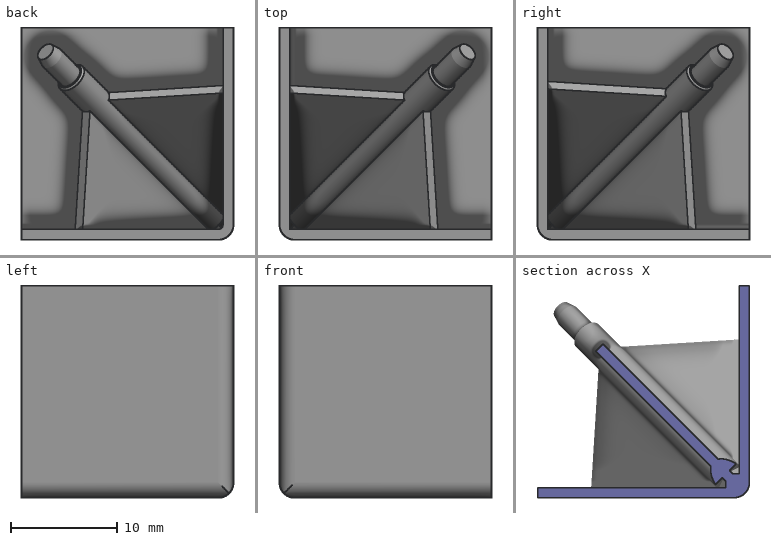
import cadquery as cq
import math

size = 20.0
wall = 1.0
edge_radius = 1.45
bend_radius = edge_radius - wall

pin_radius = 1.5
pin_start = 3.5
pin_end = 30.7
shoulder_chamfer = 0.2
tip_length = 4.0
tip_radius = 1.15
taper_length = 1.0
taper_end_radius = 0.9

web_thickness = 1.0
web_tilt = math.radians(5.0)
web_reach = 19.2
short_web_reach = 18.65


def rounded_square(plane, depth):
    """Square prism with its edge at the origin corner rounded off."""
    arc_mid = edge_radius * (1 - math.sqrt(0.5))
    return (
        cq.Workplane(plane)
        .moveTo(edge_radius, 0)
        .lineTo(size, 0)
        .lineTo(size, size)
        .lineTo(0, size)
        .lineTo(0, edge_radius)
        .threePointArc((arc_mid, arc_mid), (edge_radius, 0))
        .close()
        .extrude(depth)
    )


def corner_walls():
    """Three walls whose rounded outer edges meet in mitres."""
    block = rounded_square("XY", size)
    block = block.intersect(rounded_square("XZ", -size))
    block = block.intersect(rounded_square("YZ", size))
    hollow = cq.Workplane("XY").box(size, size, size, centered=False).translate((wall, wall, wall))
    return block.cut(hollow)


def inside_fillet():
    """Concave fillet along the inside bend between the X wall and the floor."""
    arc_mid = bend_radius * (1 - math.sqrt(0.5))
    return (
        cq.Workplane("XZ", origin=(wall, wall, wall))
        .lineTo(bend_radius, 0)
        .threePointArc((arc_mid, arc_mid), (0, bend_radius))
        .close()
        .extrude(wall - size)
    )


def pin():
    """Stepped and tapered pin turned about the body diagonal."""
    shoulder = pin_end - tip_length
    taper_start = pin_end - taper_length
    axis_plane = cq.Plane(origin=(0, 0, 0), xDir=(1, -1, 0), normal=(-1, -1, 2))
    return (
        cq.Workplane(axis_plane)
        .polyline([
            (0, pin_start),
            (pin_radius, pin_start),
            (pin_radius, shoulder - shoulder_chamfer),
            (pin_radius - shoulder_chamfer, shoulder),
            (tip_radius, shoulder),
            (tip_radius, taper_start),
            (taper_end_radius, pin_end),
            (0, pin_end),
        ])
        .close()
        .revolve(360, (0, 0, 0), (0, 1, 0))
    )


def web(wall_normal, reach):
    """Web square to one wall, filling the space between that wall and the pin axis."""
    along_wall = tuple(1 - n for n in wall_normal)
    normal = cq.Vector(*along_wall).cross(cq.Vector(*wall_normal))
    plane = cq.Plane(origin=(wall, wall, wall), xDir=along_wall, normal=normal.toTuple())
    axis_reach = reach / (1 + math.tan(web_tilt) / math.sqrt(2))
    return (
        cq.Workplane(plane)
        .polyline([(0, 0), (reach, 0), (axis_reach, axis_reach / math.sqrt(2))])
        .close()
        .extrude(web_thickness / 2, both=True)
    )


result = (
    corner_walls()
    .union(inside_fillet())
    .union(pin())
    .union(web((0, 1, 0), web_reach))
    .union(web((1, 0, 0), short_web_reach))
    .union(web((0, 0, 1), web_reach))
)